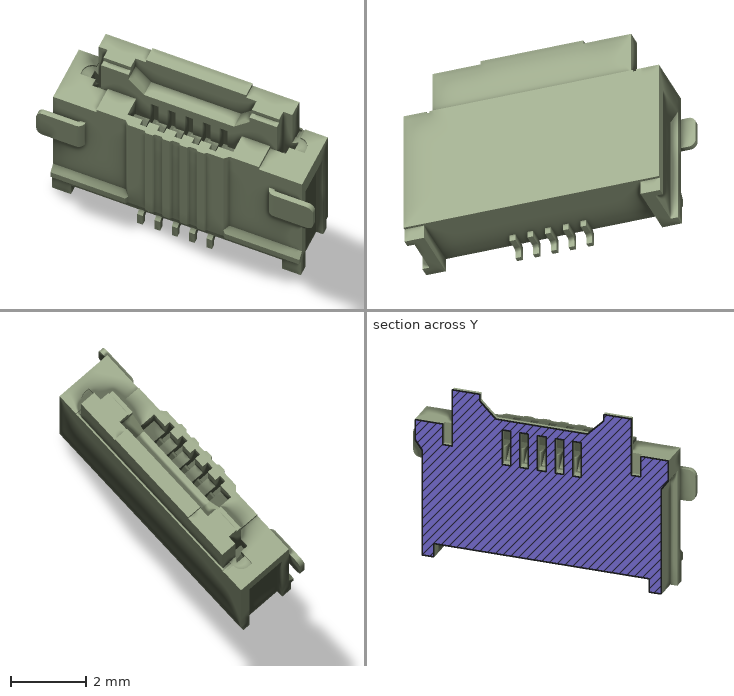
import cadquery as cq
import math


BODY_HALF = 3.6
BODY_BACK = 1.9
BODY_FRONT = 0.2
BODY_TOP = 4.0
BODY_FLOOR = 0.44
FOOT_BOTTOM = 0.05
FOOT_WIDTH = 0.55
FOOT_FRONT = 0.125
FOOT_BACK = 1.815
LIP_FRONT = 0.025
LIP_BOTTOM = 0.65
LIP_HEIGHT = 0.2
LIP_CHAMFER = BODY_FRONT - LIP_FRONT
LIP_END_SLANT = 0.06

WALL_HALF = 2.35
WALL_TOP = 4.1
BAND_FRONT = 0.08
BAND_HALF = 1.38
BAND_SLANT = BODY_FRONT - BAND_FRONT
RIB_HALF_BASE = 0.15
RIB_HALF_CREST = 0.1

PLUG_HALF = 2.8
PLUG_BACK = 1.85
PLUG_FRONT = 0.955
PLUG_TOP = 5.2
PLUG_CORNER_X = 2.54
PLUG_CORNER_Y = 1.385
CORNER_WELL_DEPTH = 0.6
LEDGE_BACK = 1.11
LEDGE_Z = 5.05
TONGUE_HALF = 1.45
TONGUE_TOP = 5.3
POCKET_BACK = 1.42
POCKET_HALF = 1.75
POCKET_FLOOR_HALF = 1.3
POCKET_FLOOR = 4.4
POCKET_SLOPE_TOP = POCKET_FLOOR + POCKET_HALF - POCKET_FLOOR_HALF

CONTACTS = 5
PITCH = 0.5
CONTACT_WIDTH = 0.16
SLOT_WIDTH = 0.2
SLOT_FRONT = 0.22
SLOT_FLOOR = 3.1
PLUG_SLOT_WIDTH = 0.23
PLUG_SLOT_DEPTH = 0.25
CAVITY_HALF = 1.53
CAVITY_FRONT = 0.39
CAVITY_FLOOR = 3.5
RAMP_FRONT = 0.68
RAMP_BACK = 0.87
RAMP_RISE = 0.03
BLADE_FRONT = 0.545
BLADE_BACK = 0.85
BLADE_TOP = 3.5
BLADE_DROP = 0.35
BLADE_RADIUS = 0.05
LEG_THICK = 0.15
LEG_TOP = 0.46
LEG_TOP_DROP = 0.07
ARM_THICK = 0.2
ARM_BEND = 0.1
ARM_BACK = 0.6

TAB_END = 4.0
TAB_THICK = 0.15
TAB_BOTTOM = 2.44
TAB_TOP = 3.36
TAB_CORNER = 0.2
TAB_BEND_X = 2.86
TAB_BEND_RADIUS = 0.2
TAB_ROOT = 0.1

SIDE_DEPTH = 0.2
SIDE_FRONT = 0.434
SIDE_BACK = 1.595
SIDE_TOP = 3.41
SIDE_SLOPE = 0.28
LATCH_OUTER = 3.24
LATCH_FRONT = 1.18
LATCH_BACK = 1.6
LATCH_SIDE = 0.13
LATCH_DEPTH = 0.05
LATCH_WELL_WIDTH = 0.15
LATCH_WELL_DEPTH = 0.25
LATCH_WELL_BACK = 1.465
GAP_WIDTH = 0.07
GAP_DEPTH = 0.1


def box(x0, x1, y0, y1, z0, z1):
    """Axis-aligned block given by its limits."""
    return cq.Workplane("XY").box(x1 - x0, y1 - y0, z1 - z0, centered=False).translate((x0, y0, z0))


def plan_prism(points, z0, z1):
    """Prism with an XY outline."""
    return cq.Workplane("XY").workplane(offset=z0).polyline(points).close().extrude(z1 - z0)


def side_prism(points, x0, x1):
    """Prism with a YZ outline."""
    return cq.Workplane("YZ").workplane(offset=x0).polyline(points).close().extrude(x1 - x0)


def both_sides(shape):
    """The shape together with its mirror image across X = 0."""
    return shape.union(shape.mirror("YZ"))


def contact_positions():
    return [(i - (CONTACTS - 1) / 2) * PITCH for i in range(CONTACTS)]


def make_housing():
    body = box(-BODY_HALF, BODY_HALF, BODY_FRONT, BODY_BACK, BODY_FLOOR, BODY_TOP)
    body = body.union(
        box(-BODY_HALF, BODY_HALF, FOOT_FRONT, BODY_FRONT, BODY_FLOOR, LIP_BOTTOM)
    )
    foot = box(BODY_HALF - FOOT_WIDTH, BODY_HALF, FOOT_FRONT, FOOT_BACK, FOOT_BOTTOM, BODY_FLOOR)
    return body.union(both_sides(foot))


def make_lip():
    """Chamfered ledge along the lower front edge, interrupted at the band."""
    lip_top = LIP_BOTTOM + LIP_HEIGHT
    lip = side_prism(
        [
            (BODY_FRONT, LIP_BOTTOM),
            (LIP_FRONT, LIP_BOTTOM),
            (LIP_FRONT, lip_top),
            (BODY_FRONT, lip_top + LIP_CHAMFER),
        ],
        -BODY_HALF,
        BODY_HALF,
    )
    end_half = BAND_HALF + LIP_END_SLANT
    opening = plan_prism(
        [(-end_half, LIP_FRONT), (end_half, LIP_FRONT), (BAND_HALF, BAND_FRONT), (-BAND_HALF, BAND_FRONT)],
        LIP_BOTTOM,
        BODY_TOP,
    )
    return lip.cut(opening)


def make_front_wall():
    """Raised wall, the thicker band in its middle and a rib between each pair of contacts."""
    wall = box(-WALL_HALF, WALL_HALF, BODY_FRONT, PLUG_FRONT, BODY_TOP, WALL_TOP)
    band_root = BAND_HALF + BAND_SLANT
    band = plan_prism(
        [(-band_root, BODY_FRONT), (-BAND_HALF, BAND_FRONT), (BAND_HALF, BAND_FRONT), (band_root, BODY_FRONT)],
        LIP_BOTTOM,
        WALL_TOP,
    )
    wall = wall.union(band)
    for x in contact_positions()[:-1]:
        center = x + PITCH / 2
        rib = plan_prism(
            [
                (center - RIB_HALF_BASE, BAND_FRONT),
                (center - RIB_HALF_CREST, LIP_FRONT),
                (center + RIB_HALF_CREST, LIP_FRONT),
                (center + RIB_HALF_BASE, BAND_FRONT),
            ],
            LIP_BOTTOM,
            WALL_TOP,
        )
        wall = wall.union(rib)
    return wall


def make_plug():
    plug = box(-PLUG_HALF, PLUG_HALF, PLUG_FRONT, PLUG_BACK, BODY_TOP, PLUG_TOP)
    plug = plug.union(box(-TONGUE_HALF, TONGUE_HALF, POCKET_BACK, PLUG_BACK, PLUG_TOP, TONGUE_TOP))
    plug = plug.cut(box(-PLUG_HALF, PLUG_HALF, PLUG_FRONT, LEDGE_BACK, LEDGE_Z, PLUG_TOP))
    half_pocket = [
        (POCKET_FLOOR_HALF, POCKET_FLOOR),
        (POCKET_HALF, POCKET_SLOPE_TOP),
        (POCKET_HALF, TONGUE_TOP),
    ]
    outline = half_pocket + [(-x, z) for x, z in reversed(half_pocket)]
    pocket = cq.Workplane("XZ").workplane(offset=-POCKET_BACK).polyline(outline).close()
    return plug.cut(pocket.extrude(POCKET_BACK - PLUG_FRONT))


def make_corner_wells():
    """Notches in the front corners of the plug that run on down into the housing."""
    return both_sides(
        box(PLUG_CORNER_X, PLUG_HALF, PLUG_FRONT, PLUG_CORNER_Y, BODY_TOP - CORNER_WELL_DEPTH, PLUG_TOP)
    )


def make_latch_recesses():
    """Shallow rounded recess, sloped well, gap and open-backed slit beside each end of the plug."""
    radius = LATCH_BACK - LATCH_FRONT - LATCH_SIDE
    mid = radius * math.sqrt(0.5)
    recess = (
        cq.Workplane("XY")
        .workplane(offset=BODY_TOP - LATCH_DEPTH)
        .moveTo(PLUG_HALF, LATCH_FRONT)
        .lineTo(LATCH_OUTER, LATCH_FRONT)
        .lineTo(LATCH_OUTER, LATCH_FRONT + LATCH_SIDE)
        .threePointArc(
            (LATCH_OUTER - radius + mid, LATCH_FRONT + LATCH_SIDE + mid),
            (LATCH_OUTER - radius, LATCH_BACK),
        )
        .lineTo(PLUG_HALF, LATCH_BACK)
        .close()
        .extrude(LATCH_DEPTH)
    )
    well_end = PLUG_HALF + LATCH_WELL_WIDTH
    well_floor = BODY_TOP - LATCH_WELL_DEPTH
    well = side_prism(
        [
            (LATCH_FRONT, BODY_TOP),
            (LATCH_FRONT, well_floor),
            (LATCH_WELL_BACK, well_floor - (LATCH_WELL_BACK - LATCH_FRONT)),
            (LATCH_WELL_BACK, BODY_TOP),
        ],
        PLUG_HALF,
        well_end,
    )
    well_corner = plan_prism(
        [(PLUG_HALF, PLUG_CORNER_Y), (PLUG_HALF, LATCH_WELL_BACK), (well_end, LATCH_WELL_BACK)],
        BODY_FLOOR,
        BODY_TOP,
    )
    well = well.cut(well_corner)
    gap = box(PLUG_HALF, PLUG_HALF + GAP_WIDTH, LATCH_BACK, PLUG_BACK, BODY_TOP - GAP_DEPTH, BODY_TOP)
    slit = box(PLUG_HALF + GAP_WIDTH, well_end, LATCH_BACK, BODY_BACK, BODY_TOP - LATCH_DEPTH, BODY_TOP)
    return both_sides(recess.union(well).union(gap).union(slit))


def make_side_recesses():
    """Upright recess in each end face, sloped at its top and open at the bottom."""
    inner = BODY_HALF - SIDE_DEPTH
    outline = [
        (BODY_HALF, FOOT_BOTTOM),
        (inner, FOOT_BOTTOM),
        (inner, SIDE_TOP - SIDE_SLOPE),
        (BODY_HALF, SIDE_TOP),
    ]
    recess = cq.Workplane("XZ").workplane(offset=-SIDE_BACK).polyline(outline).close()
    return both_sides(recess.extrude(SIDE_BACK - SIDE_FRONT))


def make_contact_cavity():
    """Opening behind the front wall with a step in its floor and one slot per contact."""
    cavity = side_prism(
        [
            (CAVITY_FRONT, WALL_TOP),
            (CAVITY_FRONT, CAVITY_FLOOR),
            (RAMP_FRONT, CAVITY_FLOOR),
            (RAMP_BACK, CAVITY_FLOOR + RAMP_RISE),
            (RAMP_BACK, SLOT_FLOOR),
            (PLUG_FRONT, SLOT_FLOOR),
            (PLUG_FRONT, WALL_TOP),
        ],
        -CAVITY_HALF,
        CAVITY_HALF,
    )
    for x in contact_positions():
        half = SLOT_WIDTH / 2
        cavity = cavity.union(box(x - half, x + half, SLOT_FRONT, RAMP_BACK, SLOT_FLOOR, WALL_TOP))
        half = PLUG_SLOT_WIDTH / 2
        cavity = cavity.union(
            box(x - half, x + half, PLUG_FRONT, PLUG_FRONT + PLUG_SLOT_DEPTH, SLOT_FLOOR, WALL_TOP)
        )
    return cavity


def make_contact(x):
    """Blade with a backward-sloping top in the slot and bent solder leg below the housing floor."""
    x0 = x - CONTACT_WIDTH / 2
    x1 = x + CONTACT_WIDTH / 2
    blade = side_prism(
        [
            (BLADE_FRONT, SLOT_FLOOR),
            (BLADE_FRONT, BLADE_TOP),
            (BLADE_BACK, BLADE_TOP - BLADE_DROP),
            (BLADE_BACK, SLOT_FLOOR),
        ],
        x0,
        x1,
    )
    blade = blade.edges("|X and >Z").fillet(BLADE_RADIUS)
    arm_bottom = LEG_TOP - ARM_THICK
    bend_mid = ARM_BEND * (1 - math.sqrt(0.5))
    leg = (
        cq.Workplane("YZ")
        .workplane(offset=x0)
        .moveTo(0, 0)
        .lineTo(0, LEG_TOP - LEG_TOP_DROP)
        .lineTo(FOOT_FRONT, LEG_TOP)
        .lineTo(ARM_BACK, LEG_TOP)
        .lineTo(ARM_BACK, arm_bottom)
        .lineTo(LEG_THICK + ARM_BEND, arm_bottom)
        .threePointArc(
            (LEG_THICK + bend_mid, arm_bottom - bend_mid),
            (LEG_THICK, arm_bottom - ARM_BEND),
        )
        .lineTo(LEG_THICK, 0)
        .close()
        .extrude(CONTACT_WIDTH)
    )
    return blade.union(leg)


def make_tabs():
    """Solder tabs with rounded outer corners, bent back into the housing at their inner ends."""
    inner_radius = TAB_BEND_RADIUS - TAB_THICK
    root_y = BODY_FRONT + TAB_ROOT
    outer_mid = TAB_BEND_RADIUS * math.sqrt(0.5)
    inner_mid = inner_radius * math.sqrt(0.5)
    tab = (
        cq.Workplane("XY")
        .workplane(offset=TAB_BOTTOM)
        .moveTo(TAB_END, 0)
        .lineTo(TAB_BEND_X, 0)
        .threePointArc(
            (TAB_BEND_X - outer_mid, TAB_BEND_RADIUS - outer_mid),
            (TAB_BEND_X - TAB_BEND_RADIUS, TAB_BEND_RADIUS),
        )
        .lineTo(TAB_BEND_X - TAB_BEND_RADIUS, root_y)
        .lineTo(TAB_BEND_X - inner_radius, root_y)
        .lineTo(TAB_BEND_X - inner_radius, TAB_BEND_RADIUS)
        .threePointArc(
            (TAB_BEND_X - inner_mid, TAB_BEND_RADIUS - inner_mid),
            (TAB_BEND_X, TAB_THICK),
        )
        .lineTo(TAB_END, TAB_THICK)
        .close()
        .extrude(TAB_TOP - TAB_BOTTOM)
        .edges("|Y and >X")
        .fillet(TAB_CORNER)
    )
    return both_sides(tab)


result = make_housing().union(make_lip()).union(make_front_wall()).union(make_plug())
result = result.cut(make_corner_wells()).cut(make_latch_recesses())
result = result.cut(make_side_recesses()).cut(make_contact_cavity())
for contact_x in contact_positions():
    result = result.union(make_contact(contact_x))
result = result.union(make_tabs())